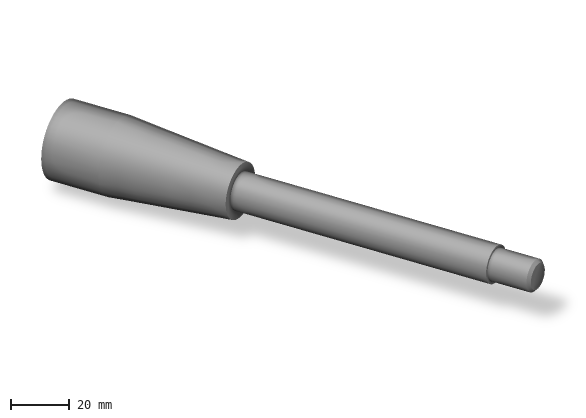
import cadquery as cq

total_length = 187.0
crown_height = 1.5
grip_end = 23.7
taper_end = 71.0
shoulder = 170.7
tip_chamfer = 1.1

knob_radius = 29.0 / 2
taper_end_radius = 20.5 / 2
rod_radius = 14.0 / 2
tip_radius = 12.0 / 2

crown_radius = (knob_radius**2 + crown_height**2) / (2 * crown_height)
crown_mid_radius = knob_radius / 2
crown_mid_x = crown_radius - (crown_radius**2 - crown_mid_radius**2) ** 0.5

profile = (
    cq.Workplane("XZ")
    .moveTo(0, 0)
    .threePointArc((crown_mid_x, crown_mid_radius), (crown_height, knob_radius))
    .lineTo(grip_end, knob_radius)
    .lineTo(taper_end, taper_end_radius)
    .lineTo(taper_end, rod_radius)
    .lineTo(shoulder, rod_radius)
    .lineTo(shoulder, tip_radius)
    .lineTo(total_length - tip_chamfer, tip_radius)
    .lineTo(total_length, tip_radius - tip_chamfer)
    .lineTo(total_length, 0)
    .close()
)

result = profile.revolve(360, (0, 0, 0), (1, 0, 0)).translate((-total_length / 2, 0, 0))